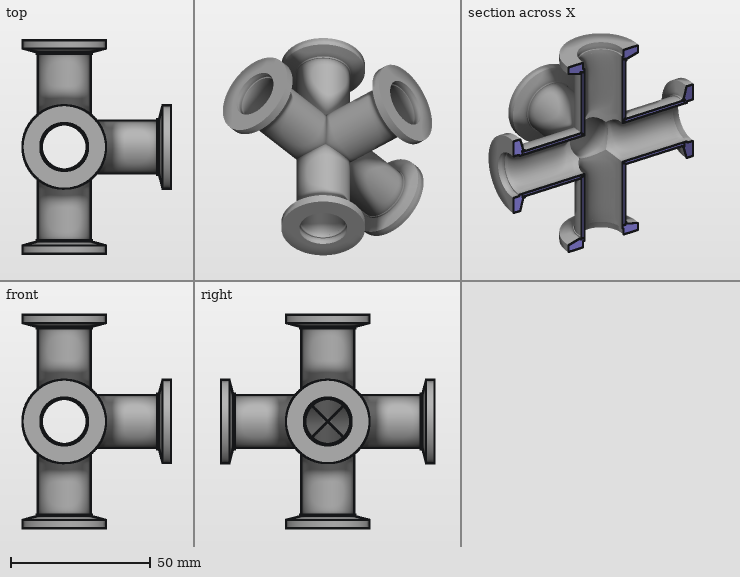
import cadquery as cq
import math

ARM_LENGTH = 38.3

TUBE_OUTER_DIA = 19.1
TUBE_BORE_DIA = 16.1

FLANGE_DIA = 30.0
RIM_DEPTH = 3.0
CLAMP_ANGLE = 15.0
COLLAR_DIA = 20.0
FLANGE_DEPTH = 5.0
RECESS_DIA = 17.2
RECESS_DEPTH = 2.6
SOCKET_DIA = 19.3
SOCKET_SHOULDER_DEPTH = 3.8

CONE_DEPTH = RIM_DEPTH + (FLANGE_DIA - COLLAR_DIA) / 2 * math.tan(math.radians(CLAMP_ANGLE))
TUBE_END = ARM_LENGTH - SOCKET_SHOULDER_DEPTH

ORIGIN = cq.Vector(0, 0, 0)
X_ARM = cq.Vector(1, 0, 0)
SIDE_ARM = cq.Vector(0, 1, 0)
SIDE_ARM_ANGLES = (0, 90, 180, 270)
ARM_DIRECTIONS = [
    X_ARM,
    SIDE_ARM,
    cq.Vector(0, -1, 0),
    cq.Vector(0, 0, 1),
    cq.Vector(0, 0, -1),
]


def arm_plane(direction, distance):
    """Plane square to an arm, facing outward, at a distance from the origin."""
    return cq.Plane(origin=direction * distance, normal=direction)


def mitre_cutter(direction, neighbour):
    """Block filling the neighbour's side of the plane halfway between two arms."""
    block_size = 4 * ARM_LENGTH
    plane = cq.Plane(origin=ORIGIN, normal=neighbour - direction)
    return cq.Workplane(plane).rect(block_size, block_size).extrude(block_size)


def make_tube(direction):
    """Straight tube, mitred at the centre against every arm at right angles to it."""
    start_plane = arm_plane(direction, -TUBE_OUTER_DIA)
    length = TUBE_OUTER_DIA + TUBE_END
    tube = cq.Workplane(start_plane).circle(TUBE_OUTER_DIA / 2).extrude(length)
    for neighbour in ARM_DIRECTIONS:
        at_right_angles = neighbour.dot(direction) == 0
        if at_right_angles:
            tube = tube.cut(mitre_cutter(direction, neighbour))
    bore = cq.Workplane(start_plane).circle(TUBE_BORE_DIA / 2).extrude(length)
    return tube.cut(bore).solids()


def make_flange(direction):
    """Clamp flange: rim, conical back and collar, with a stepped bore and a tube socket."""
    section = [
        (RECESS_DIA / 2, 0),
        (FLANGE_DIA / 2, 0),
        (FLANGE_DIA / 2, RIM_DEPTH),
        (COLLAR_DIA / 2, CONE_DEPTH),
        (COLLAR_DIA / 2, FLANGE_DEPTH),
        (SOCKET_DIA / 2, FLANGE_DEPTH),
        (SOCKET_DIA / 2, SOCKET_SHOULDER_DEPTH),
        (TUBE_BORE_DIA / 2, SOCKET_SHOULDER_DEPTH),
        (TUBE_BORE_DIA / 2, RECESS_DEPTH),
        (RECESS_DIA / 2, RECESS_DEPTH),
    ]
    radial = cq.Vector(direction.y, direction.z, direction.x)
    plane = cq.Plane(
        origin=direction * ARM_LENGTH,
        xDir=radial,
        normal=radial.cross(direction),
    )
    section_below_face = [(radius, -depth) for radius, depth in section]
    return cq.Workplane(plane).polyline(section_below_face).close().revolve(360, (0, 0), (0, 1))


def place_on_all_arms(make_body):
    """One separate body per arm: one on the X arm and four turned about the X axis."""
    side_body = make_body(SIDE_ARM).val()
    side_bodies = [side_body.rotate(ORIGIN, X_ARM, angle) for angle in SIDE_ARM_ANGLES]
    return [make_body(X_ARM).val()] + side_bodies


tubes = place_on_all_arms(make_tube)
flanges = place_on_all_arms(make_flange)

result = cq.Compound.makeCompound([*tubes, *flanges])